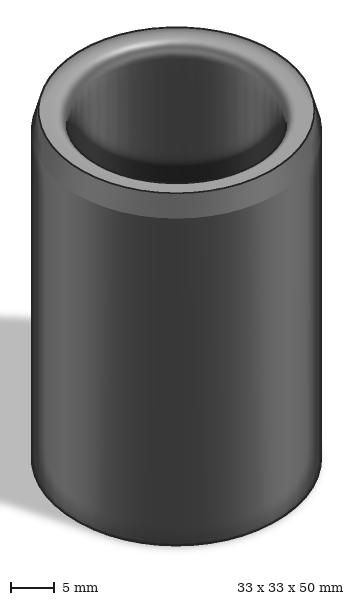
import cadquery as cq
import math

length = 50.0
outer_diameter = 33.0
bore_diameter = 25.0

lead_in_height = 3.0
lead_in_angle = 15.0
bore_mouth_radius = 2.0
bottom_chamfer = 0.5

outer_radius = outer_diameter / 2
bore_radius = bore_diameter / 2
top_radius = outer_radius - lead_in_height * math.tan(math.radians(lead_in_angle))

body = (
    cq.Workplane("XZ")
    .lineTo(outer_radius, 0)
    .lineTo(outer_radius, length - lead_in_height)
    .lineTo(top_radius, length)
    .lineTo(0, length)
    .close()
    .revolve(360, (0, 0, 0), (0, 1, 0))
)
body = body.faces("<Z").edges().chamfer(bottom_chamfer)

bore = cq.Workplane("XY").circle(bore_radius).extrude(length)
sleeve = body.cut(bore)
result = sleeve.faces(">Z").edges(cq.selectors.RadiusNthSelector(0)).fillet(bore_mouth_radius)